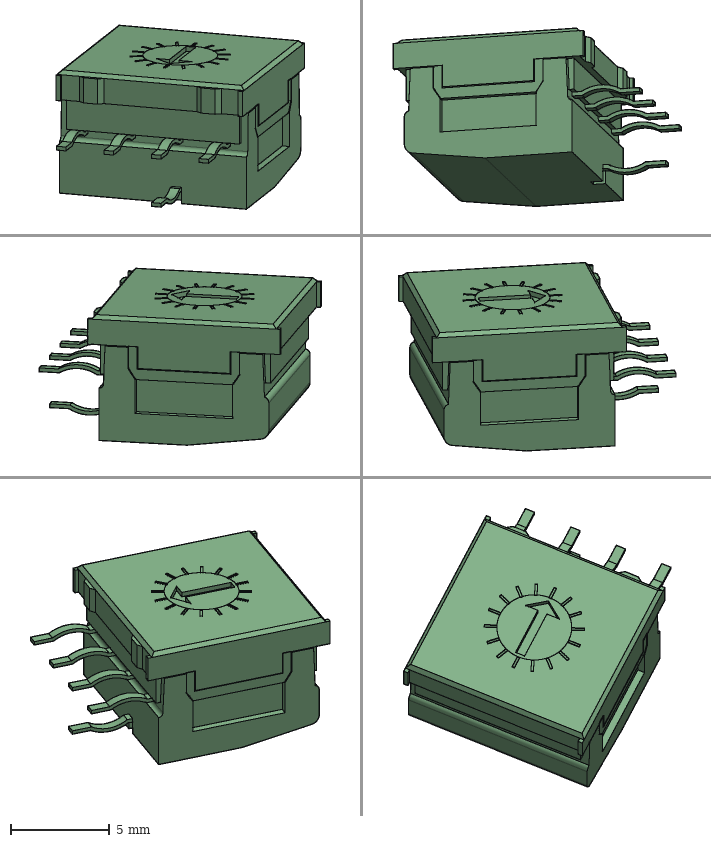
import cadquery as cq
import math

WIDTH = 10.0
HEIGHT = 6.55
TOTAL_LENGTH = 12.73
HALF_WIDTH = WIDTH / 2

LID_BOTTOM = 5.03
LID_CHAMFER = 0.2
LID_LENGTH = 9.6
END_STRIP_WIDTH = 0.24
END_STRIP_LENGTH = WIDTH
STRIP_TOP = HEIGHT - LID_CHAMFER
SKIRT_WIDTH = 9.25
SKIRT_LENGTH = 8.83
SKIRT_BOTTOM = 3.4

BOSS_SPACING = 6.29
BOSS_ROOT = 1.31
BOSS_FACE = 0.74
BOSS_DEPTH = (END_STRIP_LENGTH - LID_LENGTH) / 2

DIAL_DIAMETER = 3.8
ARROW_DEPTH = 0.25
ARROW_TAIL = 1.72
ARROW_SHAFT_WIDTH = 0.51
ARROW_HEAD_WIDTH = 1.91
ARROW_HEAD_START = -0.98
ARROW_TIP = -1.7
TICK_COUNT = 16
TICK_REACH = 2.55
TICK_WIDTH = 0.13
TICK_DEPTH = 0.05

LID_GAP = 0.05
BASE_TOP = LID_BOTTOM - LID_GAP
BASE_HALF_LENGTH = SKIRT_LENGTH / 2
ARM_HALF_LENGTH_TOP = 4.1
ARM_HALF_LENGTH_FOOT = 4.19
SHOULDER = 2.75
LEDGE_WIDTH = BASE_HALF_LENGTH - ARM_HALF_LENGTH_FOOT
BACK_SHOULDER_RADIUS = 0.3
SLOPE_START = 0.17
SLOPE_ANGLE = 7.8
HEEL_RADIUS = 0.5

ARM_THICKNESS = (WIDTH - SKIRT_WIDTH) / 2
ARM_INNER_X = SKIRT_WIDTH / 2
WINDOW_BOTTOM = 1.53
WINDOW_LENGTH = 5.07
FLARE_BOTTOM = 3.3
FLARE_TOP = 3.86
FLARE_LENGTH = 5.8
TONGUE_CLEARANCE = 0.03

PAD_HEIGHT = 0.04
PAD_EDGE_WIDTH = 0.05
PAD_FACE_LENGTH = 4.79
PAD_FACE_BOTTOM = 3.9

TERMINAL_PITCH = 2.55
TERMINAL_WIDTH = 0.51
TERMINAL_THICKNESS = 0.2
TERMINAL_END = END_STRIP_LENGTH / 2 - TOTAL_LENGTH
BEND_CENTER = -5.69
BEND_HALF_CHORD = 0.98
BEND_RISE = 0.28
SLOT_DEPTH = 0.64
TERMINAL_ROOT = SLOT_DEPTH - BASE_HALF_LENGTH
UPPER_TERMINAL_XS = [TERMINAL_PITCH * step for step in (-1.5, -0.5, 0.5, 1.5)]
UPPER_TERMINAL_BOTTOM = SKIRT_BOTTOM - TERMINAL_THICKNESS
LOWER_TERMINAL_X = TERMINAL_PITCH / 2
LOWER_TERMINAL_TOP = 0.87


def box(width, length, bottom, top, x=0, y=0):
    """Upright block centred on (x, y)."""
    return cq.Workplane("XY", origin=(x, y, bottom)).rect(width, length).extrude(top - bottom)


def side_sketch(x):
    """Workplane at the given X, in which sketch coordinates are (Y, Z) and extrusion goes to +X."""
    return cq.Workplane("YZ", origin=(x, 0, 0))


def boss(x):
    y = -LID_LENGTH / 2
    return (
        cq.Workplane("XY", origin=(x, y, LID_BOTTOM))
        .moveTo(-BOSS_ROOT / 2, 0)
        .lineTo(-BOSS_FACE / 2, -BOSS_DEPTH)
        .lineTo(BOSS_FACE / 2, -BOSS_DEPTH)
        .lineTo(BOSS_ROOT / 2, 0)
        .close()
        .extrude(STRIP_TOP - LID_BOTTOM)
    )


def tongue(side):
    """Side plate that hangs from the lid into the window of the base, with its raised pad."""
    foot = WINDOW_LENGTH / 2 - TONGUE_CLEARANCE
    shoulder = FLARE_LENGTH / 2 - TONGUE_CLEARANCE
    plate_thickness = ARM_THICKNESS - PAD_HEIGHT
    plate = (
        side_sketch(side * ARM_INNER_X)
        .moveTo(-foot, FLARE_BOTTOM)
        .lineTo(foot, FLARE_BOTTOM)
        .lineTo(shoulder, FLARE_TOP)
        .lineTo(shoulder, LID_BOTTOM)
        .lineTo(-shoulder, LID_BOTTOM)
        .lineTo(-shoulder, FLARE_TOP)
        .close()
        .extrude(side * plate_thickness)
    )
    pad_edge_angle = math.degrees(math.atan2(PAD_EDGE_WIDTH, PAD_HEIGHT))
    pad_reach = (LID_BOTTOM + STRIP_TOP) / 2 - PAD_FACE_BOTTOM
    pad = (
        side_sketch(side * (HALF_WIDTH - PAD_HEIGHT))
        .center(0, PAD_FACE_BOTTOM + pad_reach / 2)
        .rect(PAD_FACE_LENGTH + 2 * PAD_EDGE_WIDTH, pad_reach + 2 * PAD_EDGE_WIDTH)
        .extrude(side * PAD_HEIGHT, taper=pad_edge_angle)
    )
    return plate.union(pad)


def tick_marks():
    """Shallow radial cuts that start inside the dial hole."""
    return (
        cq.Workplane("XY", origin=(0, 0, HEIGHT - TICK_DEPTH))
        .polarArray(TICK_REACH / 2, 0, 360, TICK_COUNT)
        .rect(TICK_REACH, TICK_WIDTH)
        .extrude(TICK_DEPTH)
    )


def dial_blank():
    return (
        cq.Workplane("XY", origin=(0, 0, SKIRT_BOTTOM))
        .circle(DIAL_DIAMETER / 2)
        .extrude(HEIGHT - SKIRT_BOTTOM)
    )


def make_cover():
    cover = box(WIDTH, LID_LENGTH, LID_BOTTOM, HEIGHT).faces(">Z").chamfer(LID_CHAMFER)
    cover = cover.union(box(SKIRT_WIDTH, SKIRT_LENGTH, SKIRT_BOTTOM, LID_BOTTOM))
    for side in (-1, 1):
        strip_x = side * (WIDTH - END_STRIP_WIDTH) / 2
        cover = cover.union(box(END_STRIP_WIDTH, END_STRIP_LENGTH, LID_BOTTOM, STRIP_TOP, x=strip_x))
        cover = cover.union(tongue(side))
        cover = cover.union(boss(side * BOSS_SPACING / 2))
    return cover.cut(tick_marks()).cut(dial_blank())


def make_dial():
    arrow = (
        cq.Workplane("XY", origin=(0, 0, HEIGHT - ARROW_DEPTH))
        .moveTo(-ARROW_SHAFT_WIDTH / 2, ARROW_TAIL)
        .lineTo(ARROW_SHAFT_WIDTH / 2, ARROW_TAIL)
        .lineTo(ARROW_SHAFT_WIDTH / 2, ARROW_HEAD_START)
        .lineTo(ARROW_HEAD_WIDTH / 2, ARROW_HEAD_START)
        .lineTo(0, ARROW_TIP)
        .lineTo(-ARROW_HEAD_WIDTH / 2, ARROW_HEAD_START)
        .lineTo(-ARROW_SHAFT_WIDTH / 2, ARROW_HEAD_START)
        .close()
        .extrude(ARROW_DEPTH)
    )
    return dial_blank().cut(arrow)


def base_block():
    """Side profile of the base across its full width, with the channel for the cover skirt."""
    heel_height = (BASE_HALF_LENGTH - SLOPE_START) * math.tan(math.radians(SLOPE_ANGLE))
    shoulder_drop = math.sqrt(BACK_SHOULDER_RADIUS**2 - (BACK_SHOULDER_RADIUS - LEDGE_WIDTH) ** 2)
    block = (
        side_sketch(-HALF_WIDTH)
        .moveTo(-BASE_HALF_LENGTH, 0)
        .lineTo(SLOPE_START, 0)
        .lineTo(BASE_HALF_LENGTH, heel_height)
        .lineTo(BASE_HALF_LENGTH, SHOULDER - shoulder_drop)
        .radiusArc((ARM_HALF_LENGTH_FOOT, SHOULDER), -BACK_SHOULDER_RADIUS)
        .lineTo(ARM_HALF_LENGTH_TOP, BASE_TOP)
        .lineTo(-ARM_HALF_LENGTH_TOP, BASE_TOP)
        .lineTo(-ARM_HALF_LENGTH_FOOT, SHOULDER + LEDGE_WIDTH)
        .radiusArc((-BASE_HALF_LENGTH, SHOULDER), LEDGE_WIDTH)
        .close()
        .extrude(WIDTH)
    )
    heel = cq.selectors.NearestToPointSelector((0, BASE_HALF_LENGTH, heel_height))
    block = block.edges("|X").edges(heel).fillet(HEEL_RADIUS)
    return block.cut(box(SKIRT_WIDTH, WIDTH, SKIRT_BOTTOM, BASE_TOP))


def side_window(side):
    """Window through one side arm, flared where it takes the tongue and open at the top."""
    return (
        side_sketch(side * ARM_INNER_X)
        .moveTo(-WINDOW_LENGTH / 2, WINDOW_BOTTOM)
        .lineTo(WINDOW_LENGTH / 2, WINDOW_BOTTOM)
        .lineTo(WINDOW_LENGTH / 2, FLARE_BOTTOM)
        .lineTo(FLARE_LENGTH / 2, FLARE_TOP)
        .lineTo(FLARE_LENGTH / 2, BASE_TOP)
        .lineTo(-FLARE_LENGTH / 2, BASE_TOP)
        .lineTo(-FLARE_LENGTH / 2, FLARE_TOP)
        .lineTo(-WINDOW_LENGTH / 2, FLARE_BOTTOM)
        .close()
        .extrude(side * ARM_THICKNESS)
    )


def terminal(x, near_face, direction):
    """Strip along -Y whose bend bulges up (direction 1) or down (direction -1).

    near_face is the level of the flat face on the hollow side of the bend.
    """
    inner_radius = (BEND_HALF_CHORD**2 + BEND_RISE**2) / (2 * BEND_RISE)
    outer_radius = inner_radius + TERMINAL_THICKNESS
    center_drop = inner_radius - BEND_RISE
    outer_half_chord = math.sqrt(outer_radius**2 - (center_drop + TERMINAL_THICKNESS) ** 2)
    far_face = near_face + direction * TERMINAL_THICKNESS
    inner_peak = near_face + direction * BEND_RISE
    outer_peak = far_face + direction * BEND_RISE
    return (
        side_sketch(x - TERMINAL_WIDTH / 2)
        .moveTo(TERMINAL_ROOT, near_face)
        .lineTo(BEND_CENTER + BEND_HALF_CHORD, near_face)
        .threePointArc((BEND_CENTER, inner_peak), (BEND_CENTER - BEND_HALF_CHORD, near_face))
        .lineTo(TERMINAL_END, near_face)
        .lineTo(TERMINAL_END, far_face)
        .lineTo(BEND_CENTER - outer_half_chord, far_face)
        .threePointArc((BEND_CENTER, outer_peak), (BEND_CENTER + outer_half_chord, far_face))
        .lineTo(TERMINAL_ROOT, far_face)
        .close()
        .extrude(TERMINAL_WIDTH)
    )


def make_base():
    """Base with its moulded-in terminals."""
    base = base_block()
    for side in (-1, 1):
        base = base.cut(side_window(side))
    slot_y = TERMINAL_ROOT - SLOT_DEPTH / 2
    base = base.cut(box(TERMINAL_WIDTH, SLOT_DEPTH, 0, LOWER_TERMINAL_TOP, x=LOWER_TERMINAL_X, y=slot_y))
    for x in UPPER_TERMINAL_XS:
        base = base.union(terminal(x, UPPER_TERMINAL_BOTTOM, 1))
    return base.union(terminal(LOWER_TERMINAL_X, LOWER_TERMINAL_TOP, -1))


cover = make_cover()
dial = make_dial()
base = make_base()
result = cq.Compound.makeCompound([cover.val(), dial.val(), base.val()])